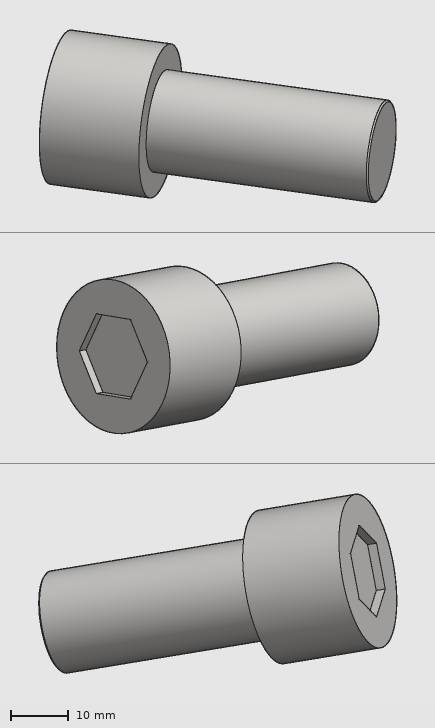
import cadquery as cq
import math

total_length = 58.0
shank_diameter = 18.0
head_diameter = 27.0
head_length = shank_diameter
tip_chamfer = 0.3
socket_across_flats = 14.05
socket_depth = 1.7

socket_across_corners = socket_across_flats / math.cos(math.pi / 6)
head_face_x = -total_length / 2

head = cq.Workplane("YZ", origin=(head_face_x, 0, 0)).circle(head_diameter / 2).extrude(head_length)

shank = (
    cq.Workplane("YZ", origin=(head_face_x, 0, 0))
    .circle(shank_diameter / 2)
    .extrude(total_length)
    .faces(">X")
    .chamfer(tip_chamfer)
)

socket = (
    cq.Workplane("YZ", origin=(head_face_x, 0, 0))
    .polygon(6, socket_across_corners)
    .extrude(socket_depth)
)

result = head.union(shank).cut(socket)